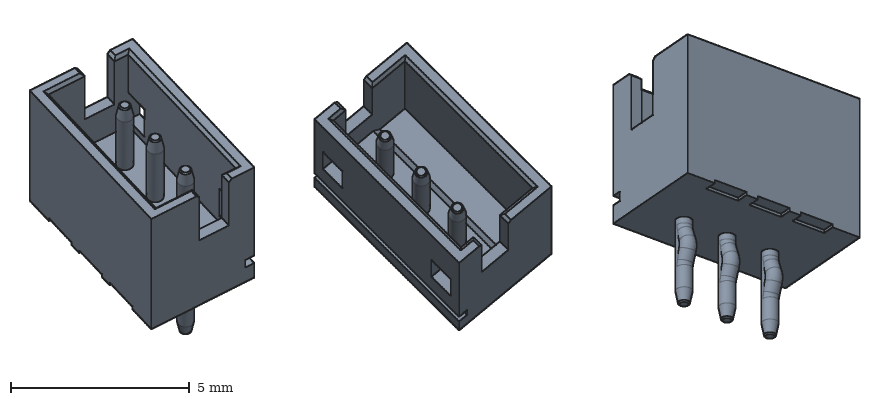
import cadquery as cq
import math


length = 6.0
width = 3.5
height = 4.5
half_length = length / 2
back = width / 2
front = -width / 2

end_wall = 0.35
long_wall = 0.395
mouth_chamfer = 0.1
upper_floor = 1.5
floor_drop = 0.25
ledge_depth = 1.9
cavity_length = length - 2 * end_wall
cavity_back = back - long_wall
cavity_front = front + long_wall

slot_from_back = 0.865
slot_width = 1.0
slot_depth = 1.85
slot_center = back - slot_from_back - slot_width / 2

window_inner = 1.85
window_bottom = 1.74
window_top = 2.86
groove_bottom = 0.6
groove_top = 0.9
groove_depth = 0.3

relief_width = 1.1
relief_height = 0.1
relief_depth = long_wall

pin_pitch = 1.5
pin_positions = [-pin_pitch, 0, pin_pitch]
pin_from_back = 1.3
pin_y = back - pin_from_back
pin_radius = 0.5 / 2
pin_top = 3.9
pin_bottom = -2.7
tip_length = 0.43
tip_radius = 0.17
tip_chamfer = 0.04

kink_start = -0.195
kink_rise = 0.18
kink_angle = math.radians(20)
foot_radius = 0.605
crest_radius = 0.425


def box(x_range, y_range, z_range):
    """Block spanning the given lower and upper limits."""
    lows, highs = zip(x_range, y_range, z_range)
    sizes = [high - low for low, high in zip(lows, highs)]
    return cq.Workplane("XY").box(*sizes, centered=False).translate(lows)


def make_cavity():
    """Stepped well with a 45 degree step in its floor and a flared mouth."""
    ledge_edge = back - ledge_depth
    lower_floor = upper_floor - floor_drop
    profile = [
        (cavity_back, height),
        (cavity_back, upper_floor),
        (ledge_edge, upper_floor),
        (ledge_edge - floor_drop, lower_floor),
        (cavity_front, lower_floor),
        (cavity_front, height),
    ]
    well = cq.Workplane("YZ").polyline(profile).close().extrude(cavity_length / 2, both=True)
    mouth = (
        cq.Workplane("XY", origin=(0, 0, height))
        .rect(cavity_length + 2 * mouth_chamfer, cavity_back - cavity_front + 2 * mouth_chamfer)
        .workplane(offset=-mouth_chamfer)
        .rect(cavity_length, cavity_back - cavity_front)
        .loft(ruled=True)
    )
    return well.union(mouth)


def make_slots():
    """Slot with chamfered top corners, running through both end walls."""
    half_slot = slot_width / 2
    profile = [
        (half_slot, height - slot_depth),
        (half_slot, height - mouth_chamfer),
        (half_slot + mouth_chamfer, height),
    ]
    mirrored = [(-y, z) for y, z in reversed(profile)]
    return (
        cq.Workplane("YZ", origin=(0, slot_center, 0))
        .polyline(profile + mirrored)
        .close()
        .extrude(half_length, both=True)
    )


def make_housing():
    housing = box((-half_length, half_length), (front, back), (0, height))
    housing = housing.cut(make_cavity()).cut(make_slots())

    groove = box((-half_length, half_length), (back - groove_depth, back), (groove_bottom, groove_top))
    housing = housing.cut(groove)

    window_outer = cavity_length / 2
    for x_range in ((-window_outer, -window_inner), (window_inner, window_outer)):
        housing = housing.cut(box(x_range, (cavity_back, back), (window_bottom, window_top)))

    for x in pin_positions:
        x_range = (x - relief_width / 2, x + relief_width / 2)
        housing = housing.cut(box(x_range, (front, front + relief_depth), (0, relief_height)))
    return housing


def make_kink():
    """Round bar on the pin axis, bent out toward the front and back again."""
    sine = math.sin(kink_angle)
    cosine = math.cos(kink_angle)
    arc_rise = 1 - cosine
    ramp_rise = kink_rise - (foot_radius + crest_radius) * arc_rise
    ramp_drop = ramp_rise / math.tan(kink_angle)
    half_sine = math.sin(kink_angle / 2)
    half_rise = 1 - math.cos(kink_angle / 2)

    foot_mid = (-foot_radius * half_rise, -foot_radius * half_sine)
    foot_end = (-foot_radius * arc_rise, -foot_radius * sine)
    crest_start = (foot_end[0] - ramp_rise, foot_end[1] - ramp_drop)
    crest = (-kink_rise, crest_start[1] - crest_radius * sine)

    def mirror(point):
        return (point[0], 2 * crest[1] - point[1])

    path = (
        cq.Workplane("YZ")
        .moveTo(0, 0)
        .threePointArc(foot_mid, foot_end)
        .lineTo(*crest_start)
        .threePointArc(crest, mirror(crest_start))
        .lineTo(*mirror(foot_end))
        .threePointArc(mirror(foot_mid), mirror((0, 0)))
    )
    return cq.Workplane("XY").circle(pin_radius).sweep(path).translate((0, 0, kink_start))


def make_pin():
    """Round pin with a tapered, blunted tip at both ends and a kink below the housing."""
    blunt_radius = tip_radius - tip_chamfer
    profile = [
        (0, pin_bottom),
        (blunt_radius, pin_bottom),
        (tip_radius, pin_bottom + tip_chamfer),
        (pin_radius, pin_bottom + tip_length),
        (pin_radius, pin_top - tip_length),
        (tip_radius, pin_top - tip_chamfer),
        (blunt_radius, pin_top),
        (0, pin_top),
    ]
    shaft = cq.Workplane("YZ").polyline(profile).close().revolve(360, (0, 0), (0, 1))
    return shaft.union(make_kink())


result = make_housing()
pin = make_pin()
for x in pin_positions:
    result = result.union(pin.translate((x, pin_y, 0)))